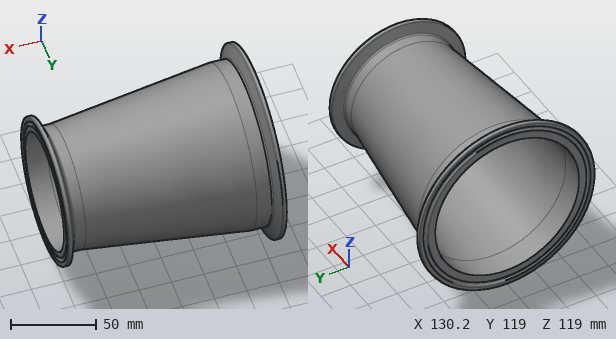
import cadquery as cq
import math

LENGTH = 130.2

LARGE_FLANGE_RADIUS = 119.0 / 2
LARGE_TUBE_RADIUS = 101.5 / 2
LARGE_BORE_RADIUS = 97.4 / 2
LARGE_END_LENGTH = 15.9

SMALL_FLANGE_RADIUS = 90.9 / 2
SMALL_TUBE_RADIUS = 76.2 / 2
SMALL_BORE_RADIUS = 72.9 / 2
SMALL_END_LENGTH = 12.9

RIM_WIDTH = 2.9
RIM_BLEND = 0.5
CLAMP_ANGLE = 20.0
NECK_BLEND = 1.0

GROOVE_INSET = 4.3
GROOVE_RADIUS = 1.4
GROOVE_DEPTH = 1.3
GROOVE_BLEND = 0.5

EDGE_MARGIN = 0.01


def blend_ring(body, x, radius, blend):
    """Round the circular edge of the given radius about the X axis at position x."""
    reach = radius + EDGE_MARGIN
    box = cq.selectors.BoxSelector(
        (x - EDGE_MARGIN, -reach, -reach),
        (x + EDGE_MARGIN, reach, reach),
        boundingbox=True,
    )
    largest = cq.selectors.RadiusNthSelector(-1)
    return body.edges(box).edges(largest).fillet(blend)


def revolve_profile(profile):
    """Close the half section and spin it about the X axis."""
    return profile.close().revolve(360, (0, 0, 0), (1, 0, 0))


def reducer_body():
    """Tapered tube with a straight length and a clamp flange at each end."""
    slope = math.tan(math.radians(CLAMP_ANGLE))
    large_neck = RIM_WIDTH + (LARGE_FLANGE_RADIUS - LARGE_TUBE_RADIUS) * slope
    small_neck = LENGTH - RIM_WIDTH - (SMALL_FLANGE_RADIUS - SMALL_TUBE_RADIUS) * slope
    small_taper_end = LENGTH - SMALL_END_LENGTH
    body = revolve_profile(
        cq.Workplane("XY")
        .moveTo(0, LARGE_BORE_RADIUS)
        .lineTo(0, LARGE_FLANGE_RADIUS)
        .lineTo(RIM_WIDTH, LARGE_FLANGE_RADIUS)
        .lineTo(large_neck, LARGE_TUBE_RADIUS)
        .lineTo(LARGE_END_LENGTH, LARGE_TUBE_RADIUS)
        .lineTo(small_taper_end, SMALL_TUBE_RADIUS)
        .lineTo(small_neck, SMALL_TUBE_RADIUS)
        .lineTo(LENGTH - RIM_WIDTH, SMALL_FLANGE_RADIUS)
        .lineTo(LENGTH, SMALL_FLANGE_RADIUS)
        .lineTo(LENGTH, SMALL_BORE_RADIUS)
        .lineTo(small_taper_end, SMALL_BORE_RADIUS)
        .lineTo(LARGE_END_LENGTH, LARGE_BORE_RADIUS)
    )
    body = blend_ring(body, large_neck, LARGE_TUBE_RADIUS, NECK_BLEND)
    body = blend_ring(body, small_neck, SMALL_TUBE_RADIUS, NECK_BLEND)
    for face, back, radius in (
        (0, RIM_WIDTH, LARGE_FLANGE_RADIUS),
        (LENGTH, LENGTH - RIM_WIDTH, SMALL_FLANGE_RADIUS),
    ):
        for x in (face, back):
            body = blend_ring(body, x, radius, RIM_BLEND)
    return body


def cut_gasket_groove(body, face, outward, flange_radius):
    """Cut a round-bottomed groove with softened edges into the flange face."""
    middle = flange_radius - GROOVE_INSET
    half_width = math.sqrt(GROOVE_RADIUS**2 - (GROOVE_RADIUS - GROOVE_DEPTH) ** 2)
    inner = middle - half_width
    outer = middle + half_width
    groove = revolve_profile(
        cq.Workplane("XY")
        .moveTo(face, inner)
        .threePointArc((face - outward * GROOVE_DEPTH, middle), (face, outer))
    )
    body = body.cut(groove)
    body = blend_ring(body, face, inner, GROOVE_BLEND)
    return blend_ring(body, face, outer, GROOVE_BLEND)


result = reducer_body()
result = cut_gasket_groove(result, 0, -1, LARGE_FLANGE_RADIUS)
result = cut_gasket_groove(result, LENGTH, 1, SMALL_FLANGE_RADIUS)